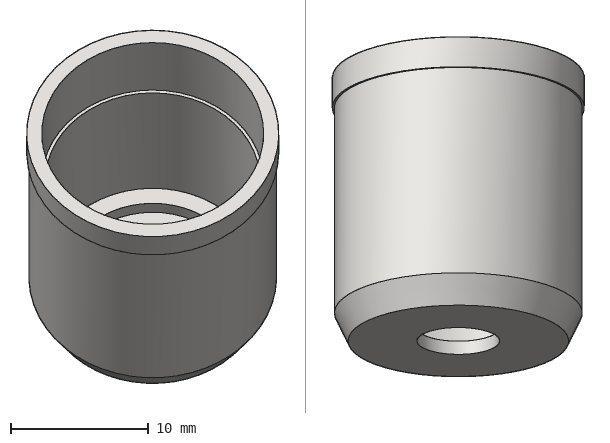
import cadquery as cq

total_height = 20.2
collar_height = 2.3
taper_height = 2.15
floor_thickness = 1.0
shoulder_height = taper_height
counterbore_depth = 6.0

collar_diameter = 18.3
body_diameter = 18.0
foot_diameter = 16.0
counterbore_diameter = 16.1
bore_diameter = 15.6
recess_diameter = 12.93
hole_diameter = 6.0


def outer_body():
    """Tapered foot, plain body and collar, stacked upward from Z = 0."""
    collar_base = total_height - collar_height
    profile = [
        (0, 0),
        (foot_diameter / 2, 0),
        (body_diameter / 2, taper_height),
        (body_diameter / 2, collar_base),
        (collar_diameter / 2, collar_base),
        (collar_diameter / 2, total_height),
        (0, total_height),
    ]
    return revolve_about_z(profile)


def cavity():
    """Through hole, floor recess, flat shoulder, bore and wider mouth."""
    counterbore_base = total_height - counterbore_depth
    profile = [
        (0, 0),
        (hole_diameter / 2, 0),
        (hole_diameter / 2, floor_thickness),
        (recess_diameter / 2, floor_thickness),
        (recess_diameter / 2, shoulder_height),
        (bore_diameter / 2, shoulder_height),
        (bore_diameter / 2, counterbore_base),
        (counterbore_diameter / 2, counterbore_base),
        (counterbore_diameter / 2, total_height),
        (0, total_height),
    ]
    return revolve_about_z(profile)


def revolve_about_z(profile):
    """Solid of revolution from (radius, height) points."""
    return cq.Workplane("XZ").polyline(profile).close().revolve(360, (0, 0), (0, 1))


result = outer_body().cut(cavity())